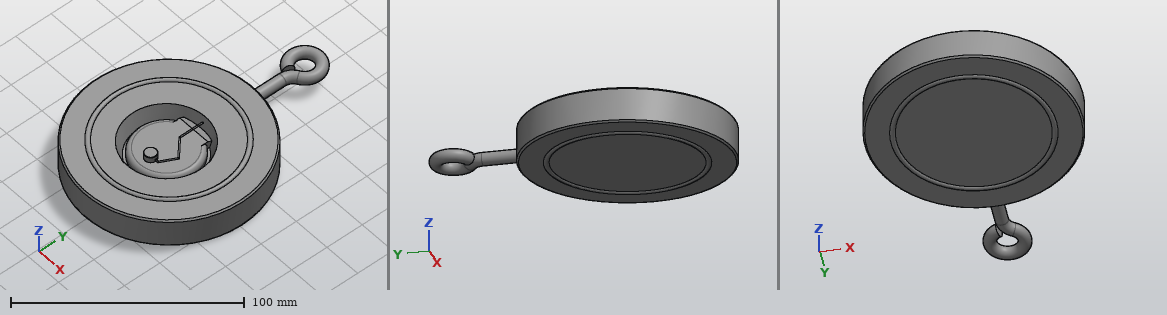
import cadquery as cq
import math

disc_radius = 47.5
disc_thickness = 15.9
edge_chamfer = 0.8
face_z = disc_thickness / 2

overall_thickness = 17.5
ring_tube_radius = 1.3
ring_center_radius = 34.8
ring_z = overall_thickness / 2 - ring_tube_radius

pocket_y = -1.5
pocket_top_radius = 21.9
pocket_floor_radius = 18.9
floor_z = -0.3

flap_radius = 17.5
flap_rounding = 2.5
flap_top_z = 4.0
flap_bottom_z = floor_z - 1.3

tab_width = 18.4
tab_flat_length = 15.5
tab_slope_angle = 25.0

pin_diameter = 6.2
pin_chamfer = 0.2
pin_height = 3.2
pin_offset_y = -8.9
wire_diameter = 0.7
wire_z = 5.0
hook_radius = 2.8
hook_angle = 225.0
wire_path = [(0, 20.7), (0, 7.5), (8.9, -0.8), (4.7, -8.8), (0, pin_offset_y)]

rod_diameter = 6.0
overall_length = 135.0
eye_bend_radius = 7.5
eye_join_angle = -60.0
eye_end_angle = 252.0
rod_embedding = 6.7
eye_y = overall_length - disc_radius - eye_bend_radius - rod_diameter / 2


def make_disc():
    return (
        cq.Workplane("XY", origin=(0, 0, -face_z))
        .circle(disc_radius)
        .extrude(disc_thickness)
        .edges()
        .chamfer(edge_chamfer)
    )


def make_sealing_ring(center_z):
    ring = cq.Solid.makeTorus(ring_center_radius, ring_tube_radius)
    return cq.Workplane(ring.translate(cq.Vector(0, 0, center_z)))


def make_pocket():
    cone = cq.Solid.makeCone(pocket_floor_radius, pocket_top_radius, face_z - floor_z)
    return cq.Workplane(cone.translate(cq.Vector(0, pocket_y, floor_z)))


def make_flap():
    return (
        cq.Workplane("XY", origin=(0, pocket_y, flap_bottom_z))
        .circle(flap_radius)
        .extrude(flap_top_z - flap_bottom_z)
        .faces(">Z")
        .edges()
        .fillet(flap_rounding)
    )


def make_flap_with_tab():
    """Flap and hinge tab, with the tab's sloping end cut off the flap rim as well.

    The far end of the tab is buried in the pocket wall.
    """
    far_y = pocket_top_radius
    slope_drop = (far_y - tab_flat_length) * math.tan(math.radians(tab_slope_angle))
    side_plane = cq.Workplane("YZ", origin=(0, pocket_y, 0))
    block = (
        side_plane.moveTo(0, flap_bottom_z)
        .lineTo(0, flap_top_z)
        .lineTo(far_y, flap_top_z)
        .lineTo(far_y, flap_bottom_z)
        .close()
        .extrude(tab_width / 2, both=True)
    )
    slope_wedge = (
        side_plane.moveTo(tab_flat_length, flap_top_z)
        .lineTo(far_y, flap_top_z)
        .lineTo(far_y, flap_top_z - slope_drop)
        .close()
        .extrude(tab_width / 2, both=True)
    )
    return make_flap().union(block).cut(slope_wedge)


def make_pin():
    return (
        cq.Workplane("XY", origin=(0, pocket_y + pin_offset_y, 0))
        .circle(pin_diameter / 2)
        .extrude(flap_top_z + pin_height)
        .faces(">Z")
        .chamfer(pin_chamfer)
    )


def make_spring_wire():
    path = cq.Workplane("XY", origin=(0, pocket_y, wire_z)).polyline(wire_path)
    start_x, start_y = wire_path[0]
    return (
        cq.Workplane("XZ", origin=(start_x, pocket_y + start_y, wire_z))
        .circle(wire_diameter / 2)
        .sweep(path, transition="right")
    )


def make_wire_hook():
    """Part-turn of wire around the back of the pin, mostly sunk into it."""
    return (
        cq.Workplane("XZ", origin=(0, pocket_y + pin_offset_y, wire_z))
        .center(hook_radius, 0)
        .circle(wire_diameter / 2)
        .revolve(hook_angle, (-hook_radius, 0), (-hook_radius, 1))
    )


def eye_point(angle):
    """Point on the centreline of the eye, at an angle from +X."""
    turn = math.radians(angle)
    return (eye_bend_radius * math.cos(turn), eye_y + eye_bend_radius * math.sin(turn))


def make_eye_bolt():
    """Straight rod, reverse bend of the same radius as the eye, then the open eye."""
    join_x, join_y = eye_point(eye_join_angle)
    bend_start_y = 2 * join_y - eye_y
    bend_turn = math.radians(90 + eye_join_angle)
    bend_middle = (
        eye_bend_radius * (1 - math.cos(bend_turn)),
        bend_start_y + eye_bend_radius * math.sin(bend_turn),
    )
    rod_start_y = disc_radius - rod_embedding
    path = (
        cq.Workplane("XY")
        .moveTo(0, rod_start_y)
        .lineTo(0, bend_start_y)
        .threePointArc(bend_middle, (join_x, join_y))
        .threePointArc(eye_point((eye_join_angle + eye_end_angle) / 2), eye_point(eye_end_angle))
    )
    return cq.Workplane("XZ", origin=(0, rod_start_y, 0)).circle(rod_diameter / 2).sweep(path)


result = make_disc()
for center_z in (ring_z, -ring_z):
    result = result.union(make_sealing_ring(center_z))
result = result.cut(make_pocket())
inner_features = [
    make_flap_with_tab(),
    make_pin(),
    make_spring_wire(),
    make_wire_hook(),
]
for feature in inner_features + [make_eye_bolt()]:
    result = result.union(feature)